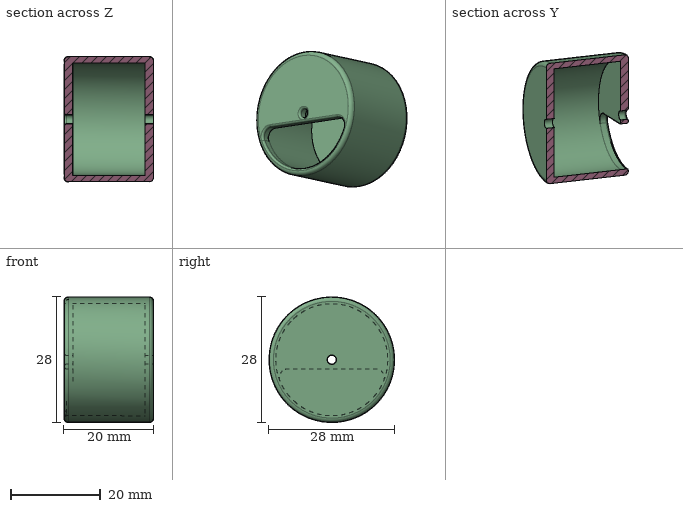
import cadquery as cq
import math

body_diameter = 28.0
body_length = 20.0
end_rounding = 0.98

hole_diameter = 2.0

cavity_diameter = 25.0
end_wall = 2.0

opening_ceiling_drop = 2.02
opening_corner_diameter = 4.0

mouth_rounding = 0.5

cavity_radius = cavity_diameter / 2
corner_radius = opening_corner_diameter / 2


def make_body():
    cylinder = cq.Workplane("YZ").circle(body_diameter / 2).extrude(body_length)
    return cylinder.faces("<X or >X").edges().fillet(end_rounding)


def make_hole():
    return cq.Workplane("YZ").circle(hole_diameter / 2).extrude(body_length)


def make_cavity():
    cavity_length = body_length - 2 * end_wall
    return cq.Workplane("YZ").workplane(offset=end_wall).circle(cavity_radius).extrude(cavity_length)


def make_opening():
    corner_z = -(opening_ceiling_drop + corner_radius)
    corner_distance = cavity_radius - corner_radius
    corner_y = math.sqrt(corner_distance**2 - corner_z**2)
    tangent_scale = cavity_radius / corner_distance
    side_y = corner_y * tangent_scale
    side_z = corner_z * tangent_scale

    middle_angle = (math.pi / 2 + math.atan2(corner_z, corner_y)) / 2
    middle_y = corner_y + corner_radius * math.cos(middle_angle)
    middle_z = corner_z + corner_radius * math.sin(middle_angle)

    return (
        cq.Workplane("YZ")
        .moveTo(-corner_y, -opening_ceiling_drop)
        .lineTo(corner_y, -opening_ceiling_drop)
        .threePointArc((middle_y, middle_z), (side_y, side_z))
        .threePointArc((0, -cavity_radius), (-side_y, side_z))
        .threePointArc((-middle_y, middle_z), (-corner_y, -opening_ceiling_drop))
        .close()
        .extrude(end_wall)
    )


def round_mouths(part):
    mouth_edges = []
    for wire in part.faces("<X").val().innerWires():
        mouth_edges.extend(wire.Edges())
    return part.newObject(mouth_edges).fillet(mouth_rounding)


hollow_body = make_body().cut(make_cavity())
result = round_mouths(hollow_body.cut(make_hole()).cut(make_opening()))